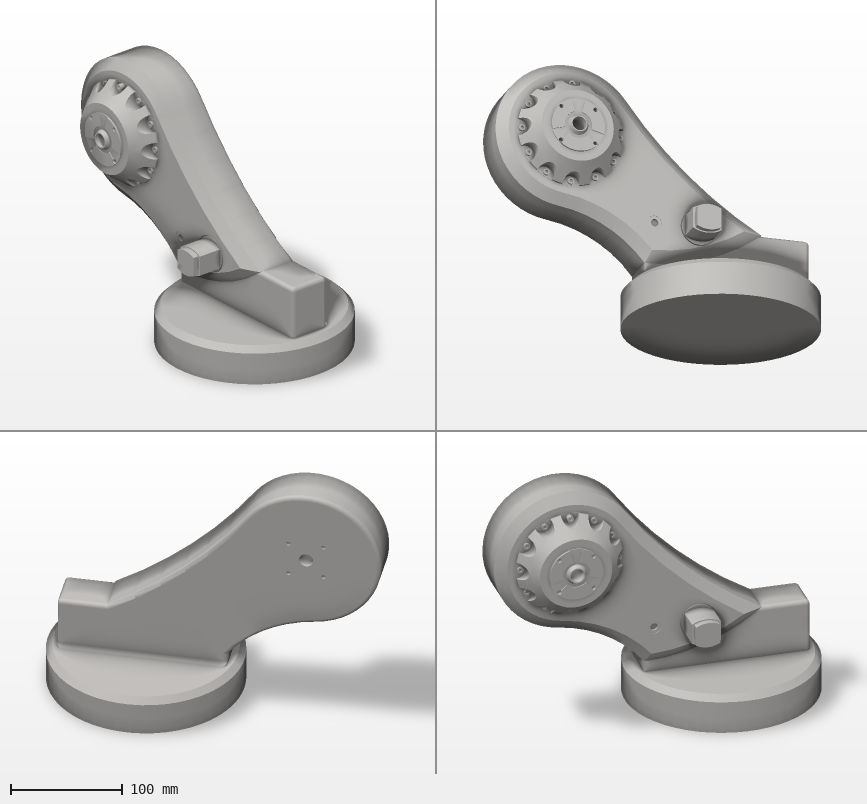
import math

import cadquery as cq

BASE_DIAMETER = 180.0
BASE_HEIGHT = 36.3
BASE_CHAMFER = 5.7

FOOT_LEFT = -78.0
FOOT_RIGHT = 77.4
FOOT_TOP = 86.2
PLATE_HALF_THICKNESS = 20.0
EDGE_RADIUS = 4.0

HEAD_RADIUS = 68.0
HEAD_X = -150.33
HEAD_Z = 160.26
UPPER_TANGENT_ANGLE = 36.0
LOWER_TANGENT_ANGLE = -97.0
ARM_TIP = (32.0, FOOT_TOP)
ARM_HEEL = (FOOT_LEFT, 47.3)
ARM_LOWER_EDGE_RADIUS = 178.0
ARM_CHAMFER_DEPTH = 7.5
ARM_CHAMFER_WIDTH = 10.3
ARM_FRONT_Y = -PLATE_HALF_THICKNESS - ARM_CHAMFER_DEPTH

HUB_RADIUS = 50.0
HUB_TOP_RADIUS = 33.8
HUB_RIM_HEIGHT = 2.4
HUB_HEIGHT = 22.2
CAP_RADIUS = 25.0
CAP_HEIGHT = 1.0
SECTOR_INNER_RADIUS = 12.75
SECTOR_HEIGHT = 1.0
SECTOR_COUNT = 3
CAP_GAP_ANGLE = 30.0
FIRST_GAP_ANGLE = 90.0
NOZZLE_BASE_RADIUS = 9.5
NOZZLE_TIP_RADIUS = 7.5
NOZZLE_HEIGHT = 4.0
BORE_DIAMETER = 13.0
PIN_HOLE_DIAMETER = 4.0
PIN_HOLE_SPACING = 32.0

SCREW_COUNT = 12
POCKET_RADIUS = 8.2
POCKET_FLOOR = 0.3
POCKET_CIRCLE_RADIUS = 49.2
SCREW_CIRCLE_RADIUS = 46.0
SCREW_DIAMETER = 6.0
SCREW_HEIGHT = 2.4
TOP_SCREW_HEIGHT = 5.5
TOP_SCREW_ANGLE = 90.0
SOCKET_DIAMETER = 3.0
SOCKET_DEPTH = 2.0

KNOB_X = -28.8
KNOB_Z = 84.2
KNOB_SEAT_DIAMETER = 35.35
KNOB_DISC_DIAMETER = 33.02
KNOB_SEAT_DEPTH = 2.0
KNOB_HALF_WIDTH = 13.5
KNOB_SIDE_HALF_HEIGHT = 9.5
KNOB_HALF_HEIGHT = 13.2
KNOB_LENGTH = 23.3
KNOB_TIP_HALF_WIDTH = 11.3
KNOB_TIP_SIDE_HALF_HEIGHT = 9.1
KNOB_TIP_HALF_HEIGHT = 12.1
KNOB_TIP_LENGTH = 5.8

LOCK_X = -70.7
LOCK_RECESS_DIAMETER = 13.0
LOCK_RECESS_DEPTH = 0.5
LOCK_SOCKET_DIAMETER = 7.0
LOCK_SOCKET_DEPTH = 3.0


def front_plane(y, x=0.0, z=0.0):
    """Sketch plane at the given Y: local x is X, local y is Z, extrusion goes toward -Y."""
    return cq.Workplane("XZ", origin=(x, y, z))


def disc(x, y, z, diameter, height):
    return front_plane(y, x, z).circle(diameter / 2).extrude(height)


def polar(radius, degrees):
    angle = math.radians(degrees)
    return radius * math.cos(angle), radius * math.sin(angle)


def neck_arc(end, tangent_angle):
    """Tangent point and midpoint of the concave arc from the head circle to `end`.

    `tangent_angle` is the direction, in degrees, from the head centre to the tangent point.
    The neck's centre lies on that same ray, `distance` away from the head centre.
    """
    ux, uz = polar(1.0, tangent_angle)
    dx = end[0] - HEAD_X
    dz = end[1] - HEAD_Z
    along = dx * ux + dz * uz
    distance = (dx * dx + dz * dz - HEAD_RADIUS**2) / (2 * (along - HEAD_RADIUS))
    centre_x = HEAD_X + distance * ux
    centre_z = HEAD_Z + distance * uz
    start = (HEAD_X + HEAD_RADIUS * ux, HEAD_Z + HEAD_RADIUS * uz)
    toward_x = (start[0] + end[0]) / 2 - centre_x
    toward_z = (start[1] + end[1]) / 2 - centre_z
    scale = (distance - HEAD_RADIUS) / math.hypot(toward_x, toward_z)
    return start, (centre_x + toward_x * scale, centre_z + toward_z * scale)


def make_base():
    disc_blank = cq.Workplane("XY").circle(BASE_DIAMETER / 2).extrude(BASE_HEIGHT)
    return disc_blank.faces(">Z").edges().chamfer(BASE_CHAMFER)


def make_foot():
    foot = cq.Workplane("XY").box(
        FOOT_RIGHT - FOOT_LEFT, 2 * PLATE_HALF_THICKNESS, FOOT_TOP - BASE_HEIGHT, centered=False
    )
    foot = foot.translate((FOOT_LEFT, -PLATE_HALF_THICKNESS, BASE_HEIGHT))
    foot = foot.edges(">X and >Z").fillet(EDGE_RADIUS)
    return foot.faces("<Y").edges("(not <X) and (not <Z)").fillet(EDGE_RADIUS)


def make_arm():
    upper_start, upper_mid = neck_arc(ARM_TIP, UPPER_TANGENT_ANGLE)
    lower_start, lower_mid = neck_arc(ARM_HEEL, LOWER_TANGENT_ANGLE)
    outline = (
        front_plane(PLATE_HALF_THICKNESS)
        .moveTo(*upper_start)
        .threePointArc((HEAD_X - HEAD_RADIUS, HEAD_Z), lower_start)
        .threePointArc(lower_mid, ARM_HEEL)
        .radiusArc(ARM_TIP, -ARM_LOWER_EDGE_RADIUS)
        .threePointArc(upper_mid, upper_start)
        .close()
    )
    arm = outline.extrude(PLATE_HALF_THICKNESS - ARM_FRONT_Y)
    front = arm.faces("<Y")
    return front.edges().chamfer(ARM_CHAMFER_DEPTH, ARM_CHAMFER_WIDTH)


def make_plate():
    """Arm and foot joined, with their shared rear outline rounded above the base."""
    plate = make_arm().union(make_foot())
    return plate.faces(">Y").edges("not <Z").fillet(EDGE_RADIUS)


def make_rear_root():
    """Concave fillet between the base and the rear of the foot, mitred at both ends."""
    near_y = PLATE_HALF_THICKNESS
    far_y = near_y + EDGE_RADIUS
    low_z = BASE_HEIGHT
    high_z = low_z + EDGE_RADIUS
    inward = EDGE_RADIUS * (1 - math.sqrt(0.5))
    strip = (
        cq.Workplane("YZ", origin=(FOOT_LEFT, 0, 0))
        .moveTo(near_y, low_z)
        .lineTo(far_y, low_z)
        .threePointArc((near_y + inward, low_z + inward), (near_y, high_z))
        .close()
        .extrude(FOOT_RIGHT - FOOT_LEFT)
    )
    mitre = (
        cq.Workplane("XY", origin=(0, 0, low_z))
        .moveTo(FOOT_LEFT, near_y)
        .lineTo(FOOT_RIGHT, near_y)
        .lineTo(FOOT_RIGHT - EDGE_RADIUS, far_y)
        .lineTo(FOOT_LEFT + EDGE_RADIUS, far_y)
        .close()
        .extrude(EDGE_RADIUS)
    )
    return strip.intersect(mitre)


def make_cap_gap(middle_angle):
    """Wedge between two raised cap sectors, running from the ring around the nozzle past the rim."""
    first = middle_angle - CAP_GAP_ANGLE / 2
    last = middle_angle + CAP_GAP_ANGLE / 2
    inner = (NOZZLE_BASE_RADIUS + SECTOR_INNER_RADIUS) / 2
    outer = HUB_TOP_RADIUS
    return (
        front_plane(ARM_FRONT_Y - HUB_HEIGHT - CAP_HEIGHT, HEAD_X, HEAD_Z)
        .polyline([polar(inner, first), polar(outer, first), polar(outer, last), polar(inner, last)])
        .close()
        .extrude(SECTOR_HEIGHT)
    )


def make_hub():
    """Turned hub about the head axis, with raised cap sectors and screw pockets."""
    cap_top = HUB_HEIGHT + CAP_HEIGHT
    sector_top = cap_top + SECTOR_HEIGHT
    nozzle_top = cap_top + NOZZLE_HEIGHT
    hub = (
        front_plane(ARM_FRONT_Y, HEAD_X, HEAD_Z)
        .transformed(rotate=(90, 0, 0))
        .polyline([
            (0, 0),
            (HUB_RADIUS, 0),
            (HUB_RADIUS, HUB_RIM_HEIGHT),
            (HUB_TOP_RADIUS, HUB_HEIGHT),
            (CAP_RADIUS, HUB_HEIGHT),
            (CAP_RADIUS, sector_top),
            (SECTOR_INNER_RADIUS, sector_top),
            (SECTOR_INNER_RADIUS, cap_top),
            (NOZZLE_BASE_RADIUS, cap_top),
            (NOZZLE_TIP_RADIUS, nozzle_top),
            (0, nozzle_top),
        ])
        .close()
        .revolve(360, (0, 0, 0), (0, 1, 0))
    )
    for index in range(SECTOR_COUNT):
        hub = hub.cut(make_cap_gap(FIRST_GAP_ANGLE + index * 360 / SECTOR_COUNT))
    floor_y = ARM_FRONT_Y - POCKET_FLOOR
    for index in range(SCREW_COUNT):
        angle = index * 360 / SCREW_COUNT
        pocket_x, pocket_z = polar(POCKET_CIRCLE_RADIUS, angle)
        pocket = disc(HEAD_X + pocket_x, floor_y, HEAD_Z + pocket_z, 2 * POCKET_RADIUS, HUB_HEIGHT)
        hub = hub.cut(pocket)
    return hub


def make_screw(index):
    """Socket head screw in pocket `index`; the one at the top stands higher."""
    angle = index * 360 / SCREW_COUNT
    height = TOP_SCREW_HEIGHT if angle == TOP_SCREW_ANGLE else SCREW_HEIGHT
    offset_x, offset_z = polar(SCREW_CIRCLE_RADIUS, angle)
    x = HEAD_X + offset_x
    z = HEAD_Z + offset_z
    top_y = ARM_FRONT_Y - height
    head = disc(x, ARM_FRONT_Y, z, SCREW_DIAMETER, height)
    return head.cut(disc(x, top_y + SOCKET_DEPTH, z, SOCKET_DIAMETER, SOCKET_DEPTH))


def make_knob_bar(start_y, length, half_width, side_half_height, half_height):
    return (
        front_plane(start_y, KNOB_X, KNOB_Z)
        .moveTo(-half_width, -side_half_height)
        .threePointArc((0, -half_height), (half_width, -side_half_height))
        .lineTo(half_width, side_half_height)
        .threePointArc((0, half_height), (-half_width, side_half_height))
        .close()
        .extrude(length)
    )


def add_knob(body):
    seat_y = ARM_FRONT_Y + KNOB_SEAT_DEPTH
    tip_y = ARM_FRONT_Y - KNOB_LENGTH
    body = body.cut(disc(KNOB_X, seat_y, KNOB_Z, KNOB_SEAT_DIAMETER, KNOB_LENGTH))
    body = body.union(disc(KNOB_X, seat_y, KNOB_Z, KNOB_DISC_DIAMETER, KNOB_SEAT_DEPTH))
    bar = make_knob_bar(
        ARM_FRONT_Y, KNOB_LENGTH, KNOB_HALF_WIDTH, KNOB_SIDE_HALF_HEIGHT, KNOB_HALF_HEIGHT
    )
    tip = make_knob_bar(
        tip_y, KNOB_TIP_LENGTH, KNOB_TIP_HALF_WIDTH, KNOB_TIP_SIDE_HALF_HEIGHT, KNOB_TIP_HALF_HEIGHT
    )
    return body.union(bar).union(tip)


def cut_lock_screw(body):
    recess_y = ARM_FRONT_Y + LOCK_RECESS_DEPTH
    socket_y = recess_y + LOCK_SOCKET_DEPTH
    body = body.cut(disc(LOCK_X, recess_y, KNOB_Z, LOCK_RECESS_DIAMETER, LOCK_RECESS_DEPTH))
    return body.cut(disc(LOCK_X, socket_y, KNOB_Z, LOCK_SOCKET_DIAMETER, LOCK_SOCKET_DEPTH))


def cut_through_holes(body):
    """Central bore and four pin holes, all running through the head along Y."""
    through = 2 * BASE_DIAMETER
    axis = front_plane(BASE_DIAMETER, HEAD_X, HEAD_Z)
    body = body.cut(axis.circle(BORE_DIAMETER / 2).extrude(through))
    pins = axis.rect(PIN_HOLE_SPACING, PIN_HOLE_SPACING, forConstruction=True).vertices()
    return body.cut(pins.circle(PIN_HOLE_DIAMETER / 2).extrude(through))


body = make_plate().union(make_base()).union(make_rear_root())
body = body.union(make_hub())
for screw_index in range(SCREW_COUNT):
    body = body.union(make_screw(screw_index))
body = add_knob(body)
body = cut_lock_screw(body)
result = cut_through_holes(body).solids()